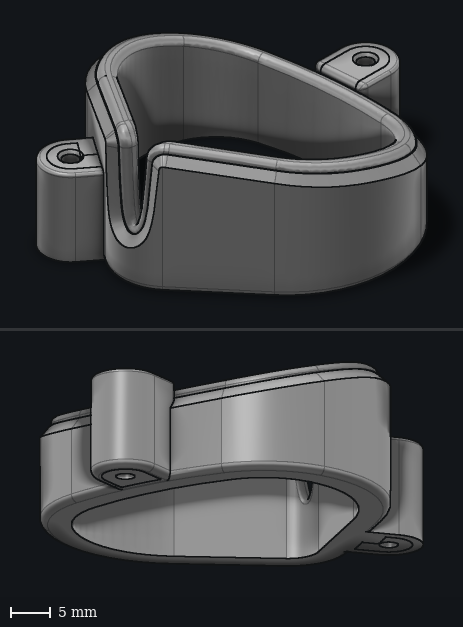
import cadquery as cq
import math

wall_thickness = 4.0
bottom_round = 0.95

rear_middle_y = 17.65
side_arcs = [(53.4, 12.3), (14.36, 53.8), (17.82, 76.1)]
front_radius = 7.97

shoulder_width = 1.4
shoulder_chamfer = 1.3
bead_height = 1.1
bead_round = 0.95

crest = [
    (19, 11.1), (15.5, 12.22), (10.9, 13.75), (6.3, 15.2), (0, 16.95),
    (-5.6, 18.0), (-10.2, 18.8), (-15.7, 19.9), (-19.6, 20.63), (-26, 21.8),
]

bead_notch = [(0, 7.95), (0.54, 9.2), (0.84, 10.9), (1.15, 14.2), (1.42, 18.0), (1.7, 24)]
bead_notch_corner = 2.5
shoulder_notch = [
    (0, 6.85), (0.84, 7.05), (1.45, 7.75), (2.07, 9.95), (2.68, 15.2), (2.9, 18.0), (3.1, 24),
]
shoulder_notch_corner = 1.8
notch_front = -26
bead_front = -21.5
bead_notch_rear = -10
shoulder_notch_rear = -18.5
shoulder_notch_flare = 0.16

lug_radius = 4.35
lug_height = 13.0
lug_reach = 5.1
lug_edge_round = 0.45
lug_end_round = 0.85
insert_radius = 3.0
screw_hole_diameter = 2.38
screw_hole_chamfer = 0.45
rear_lug_place = cq.Location(cq.Vector(0, 21.1, 0), cq.Vector(0, 0, 1), -90)
front_lug_place = cq.Location(cq.Vector(-11.45, -21.1, 0), cq.Vector(0, 0, 1), 51)
short_half_reach = 1.3

beyond = 60
on_curve = 0.02


def mirrored(points):
    return [(-x, other) for x, other in reversed(points)]


def turn(start, heading, radius, degrees):
    """Middle and end of a clockwise arc that leaves `start` along `heading` (degrees from +X)."""
    def point(turned):
        first, last = math.radians(heading), math.radians(heading - turned)
        return (
            start[0] + radius * (math.sin(first) - math.sin(last)),
            start[1] - radius * (math.cos(first) - math.cos(last)),
        )
    return point(degrees / 2), point(degrees)


def ring_outline(inset):
    """Wall outline moved inwards by `inset`."""
    start = (0, rear_middle_y - inset)
    heading = 0
    arcs = []
    for radius, degrees in side_arcs:
        middle, end = turn(start, heading, radius - inset, degrees)
        arcs.append((start, middle, end))
        start = end
        heading -= degrees
    front_turn = 180 + heading
    flank_end_x = (front_radius - inset) * math.sin(math.radians(front_turn))
    flank_slope = math.tan(math.radians(heading))
    flank_end = (flank_end_x, start[1] + (flank_end_x - start[0]) * flank_slope)

    outline = cq.Workplane("XY").moveTo(*arcs[0][0])
    for _, middle, end in arcs:
        outline = outline.threePointArc(middle, end)
    outline = outline.lineTo(*flank_end)
    outline = outline.threePointArc(
        turn(flank_end, heading, front_radius - inset, front_turn)[1], (-flank_end[0], flank_end[1]))
    outline = outline.lineTo(-start[0], start[1])
    for first, middle, _ in reversed(arcs):
        outline = outline.threePointArc((-middle[0], middle[1]), (-first[0], first[1]))
    return outline.wire().val()


def ring_prism(outer_inset, inner_inset):
    outer = ring_outline(outer_inset)
    opening = ring_outline(inner_inset)
    return cq.Workplane(cq.Solid.extrudeLinear(outer, [opening], cq.Vector(0, 0, beyond)))


def notch_profile(side, y, flare):
    """Closed notch outline in the plane at `y`, widened in X towards the front by `flare` per mm."""
    widening = 1 + flare * (bead_front - y)
    points = [(x * widening, z) for x, z in side]
    return (
        cq.Workplane("XZ", origin=(0, y, 0))
        .spline([*mirrored(points[1:]), *points])
        .close()
        .val()
    )


def space_over_rim(drop, side, rear, flare, corner_radius):
    """Everything above the rim line and inside the notch, with the notch's top corners rounded."""
    line = [(y, z - drop) for y, z in crest]
    above = (
        cq.Workplane("YZ", origin=(-beyond / 2, 0, 0))
        .spline(line)
        .lineTo(line[-1][0], beyond)
        .lineTo(line[0][0], beyond)
        .close()
        .extrude(beyond)
    )
    profiles = [notch_profile(side, y, flare) for y in (notch_front, rear)]
    notch = cq.Workplane(cq.Solid.makeLoft(profiles, True))
    top = side[-1][1]
    corners = cq.selectors.BoxSelector((-top, notch_front + 1, 0), (top, rear - 1, top))
    return above.union(notch).edges(corners).fillet(corner_radius)


def edges_along(body, inset, low, high):
    """Edges of `body` that follow the outline at `inset`, with their middle between two heights."""
    outline = ring_outline(inset)
    found = []
    for edge in body.edges().vals():
        middle = edge.positionAt(0.5)
        foot = cq.Vertex.makeVertex(middle.x, middle.y, 0)
        upright = abs(edge.tangentAt(0.5).z) > 0.99
        if low <= middle.z <= high and not upright and outline.distance(foot) < on_curve:
            found.append(edge)
    return body.newObject(found)


def shoulder():
    """Outer part of the wall, reaching inwards to the middle of the bead."""
    space = space_over_rim(
        bead_height, shoulder_notch, shoulder_notch_rear, shoulder_notch_flare, shoulder_notch_corner)
    body = ring_prism(0, (shoulder_width + wall_thickness) / 2).cut(space)
    return edges_along(body, 0, 1, beyond).chamfer(shoulder_chamfer)


def bead():
    """Inner part of the wall, from the floor up to the rounded rim."""
    space = space_over_rim(0, bead_notch, bead_notch_rear, 0, bead_notch_corner)
    body = ring_prism(shoulder_width, wall_thickness).cut(space)
    for inset in (shoulder_width, wall_thickness):
        body = edges_along(body, inset, 1, beyond).fillet(bead_round)
    return body


def lug_block(radius):
    return (
        cq.Workplane("XY")
        .moveTo(lug_reach, -radius)
        .lineTo(0, -radius)
        .threePointArc((-radius, 0), (0, radius))
        .lineTo(lug_reach, radius)
        .close()
        .extrude(lug_height)
    )


def front_lug():
    return lug_block(lug_radius).faces(">Z").edges("not(>X)").fillet(lug_edge_round)


def rear_lug():
    block = lug_block(lug_radius)
    block = block.faces(">X").edges("not(<Z)").fillet(lug_end_round)
    block = block.faces(">Z").edges("not(>X)").fillet(lug_edge_round)
    return block.faces("<Z").edges("not(>X)").fillet(bottom_round)


def screw_hole():
    radius = screw_hole_diameter / 2
    hole = cq.Workplane("XY").circle(radius).extrude(lug_height)
    mouth = cq.Workplane("XY", origin=(0, 0, lug_height)).circle(radius + screw_hole_chamfer)
    return hole.union(mouth.extrude(-screw_hole_chamfer - radius, taper=45))


def rear_insert():
    return rear_lug().intersect(lug_block(insert_radius)).cut(screw_hole())


def front_insert():
    missing = cq.Workplane("XY").box(lug_reach, insert_radius, lug_height, centered=False)
    core = lug_block(insert_radius).cut(missing.translate((short_half_reach, 0, 0)))
    return front_lug().intersect(core).cut(screw_hole())


ring = shoulder().union(bead())
inserts = []
housing = edges_along(ring, 0, 0, 0.01).fillet(bottom_round)
for lug, insert, place in (
    (rear_lug(), rear_insert(), rear_lug_place),
    (front_lug(), front_insert(), front_lug_place),
):
    placed_insert = cq.Workplane(insert.val().moved(place)).cut(ring)
    housing = housing.union(cq.Workplane(lug.val().moved(place)))
    housing = housing.cut(cq.Workplane(screw_hole().val().moved(place))).cut(placed_insert)
    inserts.append(placed_insert.val())

result = cq.Compound.makeCompound([housing.val(), *inserts])